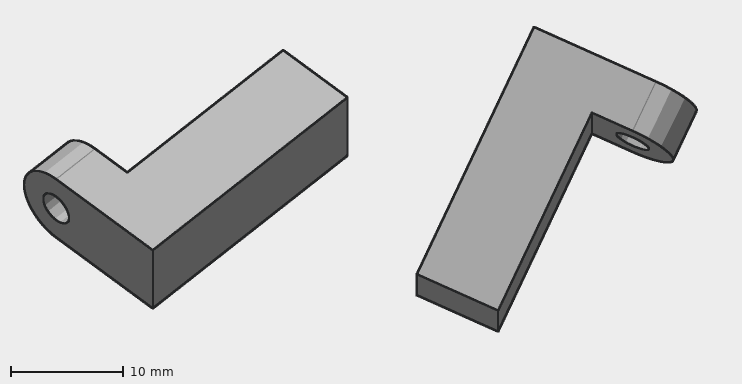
import cadquery as cq

total_length = 25.0
arm_side = 8.0
lug_thickness = 5.0
hole_diameter = 3.2

total_width = 2 * arm_side
lug_radius = arm_side / 2
half_height = arm_side / 2


def make_arm():
    """Square bar running the full length along Y."""
    return cq.Workplane("XY").box(
        arm_side, total_length, arm_side, centered=(False, False, True)
    )


def make_lug():
    """Plate across the front end, rounded about the hole axis at its free end."""
    hole_x = arm_side - total_width + lug_radius
    plate = (
        cq.Workplane("XZ")
        .moveTo(arm_side, -half_height)
        .lineTo(arm_side, half_height)
        .lineTo(hole_x, half_height)
        .threePointArc((hole_x - lug_radius, 0), (hole_x, -half_height))
        .close()
        .extrude(-lug_thickness)
    )
    hole = (
        cq.Workplane("XZ")
        .center(hole_x, 0)
        .circle(hole_diameter / 2)
        .extrude(-lug_thickness)
    )
    return plate.cut(hole)


result = make_arm().union(make_lug())